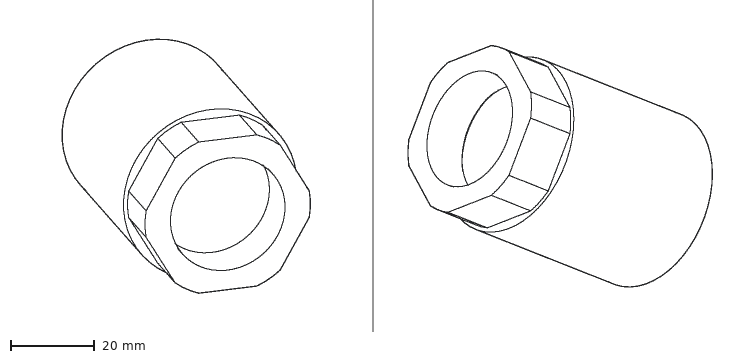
import cadquery as cq

total_length = 60.4
body_diameter = 43.7
head_length = 13.35
body_length = total_length - head_length

across_flats = 39.0
head_diameter = 41.7
flat_count = 6

bore_diameter = 32.0
head_bore_diameter = 28.9
cone_diameter = 31.7
cone_angle = 45
cone_length = (cone_diameter - head_bore_diameter) / 2


def cylinder(diameter, start, length):
    """Solid cylinder on the X axis, beginning at X = start."""
    return cq.Workplane("YZ", origin=(start, 0, 0)).circle(diameter / 2).extrude(length)


def hex_head():
    """Rounded hexagon with flats facing +Z and -Z."""
    hexagon = (
        cq.Workplane("YZ", origin=(body_length, 0, 0))
        .polygon(flat_count, across_flats, circumscribed=True)
        .extrude(head_length)
        .rotate((0, 0, 0), (1, 0, 0), 180 / flat_count)
    )
    return hexagon.intersect(cylinder(head_diameter, body_length, head_length))


body = cylinder(body_diameter, 0, body_length)
wide_bore = cylinder(bore_diameter, 0, body_length)
bore_cone = (
    cq.Workplane("YZ", origin=(body_length, 0, 0))
    .circle(cone_diameter / 2)
    .extrude(cone_length, taper=cone_angle)
)
head_bore = cylinder(head_bore_diameter, body_length, head_length)

result = body.union(hex_head()).cut(wide_bore).cut(bore_cone).cut(head_bore)